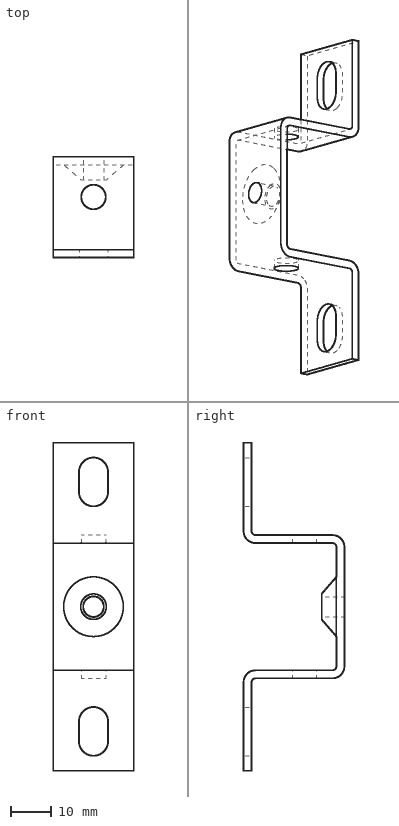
import cadquery as cq

width = 20.0
depth = 25.0
height = 81.25
thickness = 2.0
inner_radius = 1.0
outer_radius = inner_radius + thickness
channel_height = 35.5

slot_width = 7.15
slot_length = 12.0
slot_spacing = 61.75

leg_hole_diameter = 6.0
leg_hole_setback = 10.0

boss_base_diameter = 14.8
boss_tip_diameter = 6.3
boss_height = 3.65
boss_hole_diameter = 5.0

front_y = -depth / 2
back_y = depth / 2
web_front_y = back_y - thickness


def block(y_min, y_max, z_min, z_max):
    """Full-width block between the given Y and Z limits."""
    return (
        cq.Workplane("XY")
        .box(width, y_max - y_min, z_max - z_min)
        .translate((0, (y_min + y_max) / 2, (z_min + z_max) / 2))
    )


def bent_strip():
    """Hat-shaped strip: two flanges, two legs and a web, with rounded bends."""
    leg_outer_z = channel_height / 2
    leg_inner_z = leg_outer_z - thickness
    flange_back_y = front_y + thickness

    strip = block(web_front_y, back_y, -leg_outer_z, leg_outer_z)
    for side in (-1, 1):
        leg_z = sorted((side * leg_inner_z, side * leg_outer_z))
        flange_z = sorted((side * leg_inner_z, side * height / 2))
        strip = strip.union(block(front_y, back_y, *leg_z))
        strip = strip.union(block(front_y, flange_back_y, *flange_z))

    outer_corners = [(back_y, leg_outer_z), (front_y, leg_inner_z)]
    inner_corners = [(web_front_y, leg_inner_z), (flange_back_y, leg_outer_z)]
    for corners, radius in ((outer_corners, outer_radius), (inner_corners, inner_radius)):
        for y, z in corners:
            for side in (-1, 1):
                bend_edge = cq.selectors.NearestToPointSelector((0, y, side * z))
                strip = strip.edges("|X").edges(bend_edge).fillet(radius)
    return strip


def flange_slots():
    """Cutters for the upright slots in both flanges."""
    return (
        cq.Workplane("XZ")
        .pushPoints([(0, -slot_spacing / 2), (0, slot_spacing / 2)])
        .slot2D(slot_length, slot_width, 90)
        .extrude(depth, both=True)
    )


def leg_holes():
    """Cutter for the aligned holes through both legs."""
    return (
        cq.Workplane("XY")
        .center(0, back_y - leg_hole_setback)
        .circle(leg_hole_diameter / 2)
        .extrude(height, both=True)
    )


def boss():
    """Truncated cone standing on the web and narrowing toward -Y."""
    cone = cq.Solid.makeCone(
        boss_base_diameter / 2,
        boss_tip_diameter / 2,
        boss_height,
        pnt=cq.Vector(0, web_front_y, 0),
        dir=cq.Vector(0, -1, 0),
    )
    return cq.Workplane(obj=cone)


def boss_hole():
    """Cutter for the hole through the boss and the web."""
    return cq.Workplane("XZ").circle(boss_hole_diameter / 2).extrude(depth, both=True)


result = bent_strip().union(boss())
for cutter in (flange_slots(), leg_holes(), boss_hole()):
    result = result.cut(cutter)